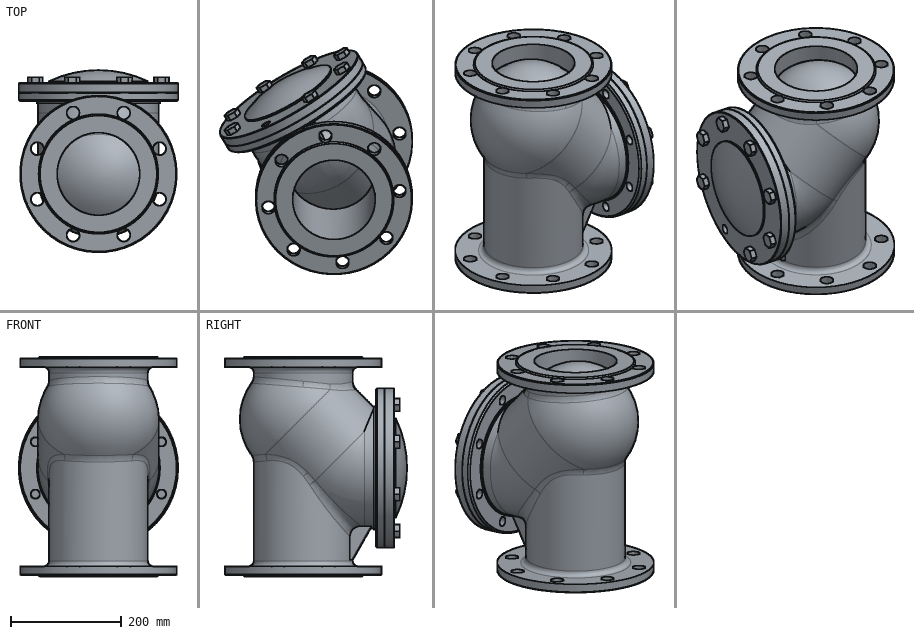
import cadquery as cq
import math

LENGTH = 400.0
PIPE_D = 180.0
BORE_D = 150.0
FLANGE_D = 285.0
FLANGE_THICK = 19.0
SEAL_FACE_D = 212.0
SEAL_FACE_H = 3.0
FLANGE_HOLE_D = 23.0
FLANGE_HOLE_CIRCLE_D = 240.0
FLANGE_FILLET = 10.0
FLANGE_CHAMFER = 1.5
HOLE_COUNT = 8

CHAMBER_R = 110.0
BALL_Y = -5.5
BALL_Z = 286.5
SLANT = 45.0
BRANCH_Z = 197.5
BEND_R = 67.0
CHAMBER_FILLET = 20.0

COLLAR_D = 224.0
COLLAR_H = 3.0
BRANCH_FLANGE_D = 290.0
BRANCH_FACE_Y = 131.5
JOINT_Y = 147.0
BRANCH_CHAMFER = 3.0

RIB_THICK = 60.0
RIB_TOP_Y = 123.5
RIB_TOP_Z = 90.0
RIB_FOOT_Z = 31.0
RIB_FILLET = 3.0

JOINT_GAP = 1.0
COVER_BACK_Y = 165.0
COVER_CHAMFER = 1.0
DOME_D = 180.0
DOME_BASE_H = 3.0
DOME_TIP_Y = 189.0

BOLT_D = 16.0
BOLT_HOLE_D = 17.0
BOLT_CIRCLE_D = 248.0
HEAD_ACROSS_FLATS = 24.0
HEAD_H = 10.5
BOLT_LENGTH = COVER_BACK_Y - JOINT_Y
EMPTY_HOLE = 6

SLANT_RAD = math.radians(SLANT)
CROSS_Y = BALL_Y + (BALL_Z - BRANCH_Z) / math.tan(SLANT_RAD)
BEND_TANGENT = BEND_R * math.tan(SLANT_RAD / 2)
BEND_Y = CROSS_Y + BEND_TANGENT
SLANT_LENGTH = (BALL_Z - BRANCH_Z) / math.sin(SLANT_RAD) - BEND_TANGENT


def y_cylinder(diameter, y_start, y_end):
    """Cylinder on the branch axis, from y_start to y_end."""
    plane = cq.Plane(origin=(0, y_start, BRANCH_Z), xDir=(1, 0, 0), normal=(0, 1, 0))
    return cq.Workplane(plane).circle(diameter / 2).extrude(y_end - y_start)


def ring_points(circle_d):
    """Hole centres on a circle, half a pitch away from the axes."""
    pitch = 2 * math.pi / HOLE_COUNT
    angles = [(i + 0.5) * pitch for i in range(HOLE_COUNT)]
    return [(circle_d / 2 * math.cos(a), circle_d / 2 * math.sin(a)) for a in angles]


def make_end_flange():
    """Pipe flange lying on z = 0, sealing face down, fillet towards the pipe."""
    rim_r = FLANGE_D / 2
    face_r = SEAL_FACE_D / 2
    pipe_r = PIPE_D / 2
    profile = (
        cq.Workplane("XZ")
        .lineTo(face_r, 0)
        .lineTo(face_r + SEAL_FACE_H, SEAL_FACE_H)
        .lineTo(rim_r - FLANGE_CHAMFER, SEAL_FACE_H)
        .lineTo(rim_r, SEAL_FACE_H + FLANGE_CHAMFER)
        .lineTo(rim_r, FLANGE_THICK)
        .lineTo(pipe_r + FLANGE_FILLET, FLANGE_THICK)
        .radiusArc((pipe_r, FLANGE_THICK + FLANGE_FILLET), FLANGE_FILLET)
        .lineTo(0, FLANGE_THICK + FLANGE_FILLET)
        .close()
    )
    flange = profile.revolve(360, (0, 0, 0), (0, 1, 0))
    holes = (
        cq.Workplane("XY")
        .pushPoints(ring_points(FLANGE_HOLE_CIRCLE_D))
        .circle(FLANGE_HOLE_D / 2)
        .extrude(FLANGE_THICK)
    )
    return flange.cut(holes)


def make_chamber():
    """Solid chamber: ball, slanted cylinder, bend and branch neck."""
    ball = cq.Workplane("XY").sphere(CHAMBER_R).translate((0, BALL_Y, BALL_Z))
    slant_dir = (0, math.cos(SLANT_RAD), -math.sin(SLANT_RAD))
    slant_plane = cq.Plane(origin=(0, BALL_Y, BALL_Z), xDir=(1, 0, 0), normal=slant_dir)
    slanted = cq.Workplane(slant_plane).circle(CHAMBER_R).extrude(SLANT_LENGTH)
    neck = y_cylinder(2 * CHAMBER_R, BEND_Y, JOINT_Y)

    chord_x = math.sqrt(CHAMBER_R**2 - BEND_R**2)
    bend_plane = cq.Plane(origin=(0, BEND_Y, BRANCH_Z), xDir=(1, 0, 0), normal=(0, -1, 0))
    bend = (
        cq.Workplane(bend_plane)
        .moveTo(-chord_x, BEND_R)
        .threePointArc((0, -CHAMBER_R), (chord_x, BEND_R))
        .close()
        .revolve(SLANT, (0, BEND_R, 0), (-1, BEND_R, 0))
    )
    return ball.union(slanted).union(bend).union(neck)


def make_rib():
    """Triangular rib between the branch neck and the lower pipe."""
    outline = [
        (0, RIB_FOOT_Z),
        (PIPE_D / 2, RIB_FOOT_Z),
        (RIB_TOP_Y, RIB_TOP_Z),
        (RIB_TOP_Y, BRANCH_Z),
        (0, BRANCH_Z),
    ]
    rib = cq.Workplane("YZ").polyline(outline).close().extrude(RIB_THICK / 2, both=True)
    outward = cq.Vector(0, RIB_TOP_Z - RIB_FOOT_Z, PIPE_D / 2 - RIB_TOP_Y)
    slope = rib.faces(cq.selectors.DirectionMinMaxSelector(outward))
    return slope.edges("not |X").fillet(RIB_FILLET)


def make_bolt_holes():
    """Clearance holes through the branch flange and the cover."""
    plane = cq.Plane(origin=(0, BRANCH_FACE_Y, BRANCH_Z), xDir=(1, 0, 0), normal=(0, 1, 0))
    return (
        cq.Workplane(plane)
        .pushPoints(ring_points(BOLT_CIRCLE_D))
        .circle(BOLT_HOLE_D / 2)
        .extrude(COVER_BACK_Y - BRANCH_FACE_Y)
    )


def make_housing():
    chamber = make_chamber()
    pipe = cq.Workplane("XY").circle(PIPE_D / 2).extrude(LENGTH)
    housing = pipe.union(chamber).edges("%BSPLINE").fillet(CHAMBER_FILLET)
    housing = housing.union(make_rib())
    lower_flange = make_end_flange()
    upper_flange = lower_flange.mirror("XY").translate((0, 0, LENGTH))
    housing = housing.union(lower_flange).union(upper_flange)

    collar = y_cylinder(COLLAR_D, BRANCH_FACE_Y - COLLAR_H, JOINT_Y)
    branch_flange = y_cylinder(BRANCH_FLANGE_D, BRANCH_FACE_Y, JOINT_Y)
    branch_flange = branch_flange.faces("<Y").chamfer(BRANCH_CHAMFER)
    housing = housing.union(collar).union(branch_flange)

    bore = cq.Workplane("XY").circle(BORE_D / 2).extrude(LENGTH).cut(chamber)
    return housing.cut(bore).cut(make_bolt_holes())


def make_cover():
    disc = y_cylinder(BRANCH_FLANGE_D, JOINT_Y + JOINT_GAP, COVER_BACK_Y)
    disc = disc.faces(">Y").chamfer(COVER_CHAMFER)
    cap_h = DOME_TIP_Y - COVER_BACK_Y - DOME_BASE_H
    cap_r = ((DOME_D / 2) ** 2 + cap_h**2) / (2 * cap_h)
    dome = (
        cq.Workplane("XY", origin=(0, COVER_BACK_Y, BRANCH_Z))
        .lineTo(DOME_D / 2, 0)
        .lineTo(DOME_D / 2, DOME_BASE_H)
        .radiusArc((0, DOME_BASE_H + cap_h), -cap_r)
        .close()
        .revolve(360, (0, 0, 0), (0, 1, 0))
    )
    return disc.union(dome).cut(make_bolt_holes())


def make_bolt(x, z):
    plane = cq.Plane(origin=(x, COVER_BACK_Y, z), xDir=(1, 0, 0), normal=(0, 1, 0))
    head_corners_d = HEAD_ACROSS_FLATS / math.cos(math.pi / 6)
    head = cq.Workplane(plane).polygon(6, head_corners_d).extrude(HEAD_H)
    shank = cq.Workplane(plane).circle(BOLT_D / 2).extrude(-BOLT_LENGTH)
    return head.union(shank)


housing = make_housing()
cover = make_cover()
bolts = []
for index, (x, z) in enumerate(ring_points(BOLT_CIRCLE_D)):
    if index != EMPTY_HOLE:
        bolts.append(make_bolt(x, BRANCH_Z + z).val())

result = cq.Compound.makeCompound([housing.val(), cover.val(), *bolts])